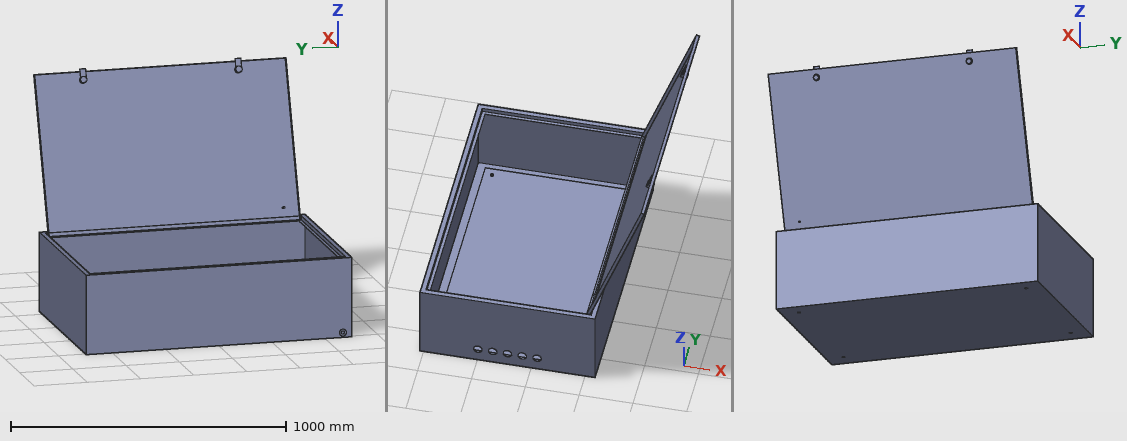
import cadquery as cq
import math


sheet = 1.5

housing_x = 652.0
housing_y = 1000.0
housing_z = 299.0
rim_width = 20.0
recess_depth = 15.0
ledge_inset = 32.0
ledge_z = housing_z - recess_depth

entry_count = 5
entry_diameter = 31.0
entry_pitch = 55.0
entry_z = 54.0

plate_margin_x = 34.0
plate_margin_y = 35.0
plate_z = 13.0
plate_thickness = 2.0
stud_inset = 66.0
stud_diameter = 8.0
stud_shoulder_diameter = 12.0
stud_projection = 3.0
stud_top_z = plate_z + plate_thickness + stud_projection

bolt_from_front = 34.0
bolt_z = 19.0
bolt_flange_diameter = 26.0
bolt_shank_diameter = 12.0
bolt_flange_thickness = 1.0

door_angle = 70.0
door_length = 594.0
door_width = 947.0
door_depth = 13.0
door_foot_gap = 6.0
door_stud_from_foot = 49.0
door_stud_y = -414.0
door_stud_diameter = 6.0
door_stud_length = 18.0

lock_y = 292.0
lock_from_free_edge = 31.0
barrel_diameter = 24.0
barrel_top = door_depth + 6.0
spindle_diameter = 16.0
knob_diameter = 20.0
knob_height = 5.0
cam_width = 22.0
cam_bottom = door_depth + 2.0
cam_thickness = 3.0
cam_overhang = 9.0

hinge_rise = math.radians(door_angle)
door_plane = cq.Plane(
    origin=(housing_x / 2 - rim_width - door_foot_gap, 0, ledge_z),
    xDir=(math.cos(hinge_rise), 0, math.sin(hinge_rise)),
    normal=(-math.sin(hinge_rise), 0, math.cos(hinge_rise)),
)

bolt_plane = cq.Plane(
    origin=(-housing_x / 2, bolt_from_front - housing_y / 2, bolt_z),
    xDir=(0, -1, 0),
    normal=(-1, 0, 0),
)
floor_plane = cq.Plane.XY()

stud_x = housing_x / 2 - stud_inset
stud_y = housing_y / 2 - stud_inset
stud_points = [(sx * stud_x, sy * stud_y) for sx in (-1, 1) for sy in (-1, 1)]
lock_points = [(door_length - lock_from_free_edge, side * lock_y) for side in (-1, 1)]


def inset_block(inset, bottom, top):
    """Block inside the housing outline, set in by the same amount on all four sides."""
    return (
        cq.Workplane("XY", origin=(0, 0, bottom))
        .rect(housing_x - 2 * inset, housing_y - 2 * inset)
        .extrude(top - bottom)
    )


def frame(outer_inset, inner_inset, bottom, top):
    """Rectangular ring between two insets from the housing outline."""
    return inset_block(outer_inset, bottom, top).cut(inset_block(inner_inset, bottom, top))


def discs(plane, points, diameter, start, end):
    """Cylinders on the given points, from height start to height end above the plane."""
    return (
        cq.Workplane(plane)
        .workplane(offset=start)
        .pushPoints(points)
        .circle(diameter / 2)
        .extrude(end - start)
    )


def make_housing():
    body = inset_block(0, 0, housing_z).cut(inset_block(sheet, sheet, housing_z))
    body = body.union(frame(0, rim_width, housing_z - sheet, housing_z))
    body = body.union(frame(rim_width - sheet, rim_width, ledge_z - sheet, housing_z))
    body = body.union(frame(rim_width - sheet, ledge_inset, ledge_z - sheet, ledge_z))

    body = body.union(discs(floor_plane, stud_points, stud_shoulder_diameter, 0, plate_z))
    body = body.union(discs(floor_plane, stud_points, stud_diameter, 0, stud_top_z))

    entries = (
        cq.Workplane("XZ", origin=(0, -housing_y / 2, entry_z))
        .rarray(entry_pitch, 10, entry_count, 1)
        .circle(entry_diameter / 2)
        .extrude(-sheet)
    )
    bolt_hole = discs(bolt_plane, [(0, 0)], bolt_shank_diameter, -sheet, 0)
    return body.cut(entries).cut(bolt_hole)


def make_plate():
    plate = (
        cq.Workplane("XY", origin=(0, 0, plate_z))
        .rect(housing_x - 2 * plate_margin_x, housing_y - 2 * plate_margin_y)
        .extrude(plate_thickness)
    )
    return plate.cut(discs(floor_plane, stud_points, stud_diameter, 0, stud_top_z))


def make_earth_bolt():
    flange = discs(bolt_plane, [(0, 0)], bolt_flange_diameter, 0, bolt_flange_thickness)
    shank = discs(bolt_plane, [(0, 0)], bolt_shank_diameter, -sheet, bolt_flange_thickness)
    return flange.union(shank)


def make_door():
    tray = (
        cq.Workplane(door_plane)
        .center(door_length / 2, 0)
        .rect(door_length, door_width)
        .extrude(door_depth)
    )
    hollow = (
        cq.Workplane(door_plane)
        .workplane(offset=sheet)
        .center(door_length / 2, 0)
        .rect(door_length - 2 * sheet, door_width - 2 * sheet)
        .extrude(door_depth)
    )
    stud_point = (door_stud_from_foot, door_stud_y)
    stud = discs(door_plane, [stud_point], door_stud_diameter, 0, sheet + door_stud_length)
    spindle_holes = discs(door_plane, lock_points, spindle_diameter, 0, sheet)
    return tray.cut(hollow).union(stud).cut(spindle_holes)


def make_lock(point):
    """Knob outside the door and barrel inside it, joined by a spindle through the sheet."""
    knob = discs(door_plane, [point], knob_diameter, -knob_height, 0)
    spindle = discs(door_plane, [point], spindle_diameter, 0, sheet)
    barrel = discs(door_plane, [point], barrel_diameter, sheet, barrel_top)
    return knob.union(spindle).union(barrel)


def make_cam(point):
    """Bar from the side of the lock barrel to beyond the free edge of the door."""
    length = lock_from_free_edge + cam_overhang
    bar = (
        cq.Workplane(door_plane)
        .workplane(offset=cam_bottom)
        .center(point[0] + length / 2, point[1])
        .rect(length, cam_width)
        .extrude(cam_thickness)
    )
    return bar.cut(discs(door_plane, [point], barrel_diameter, sheet, barrel_top))


housing = make_housing()
plate = make_plate()
earth_bolt = make_earth_bolt()
door = make_door()
locks = [make_lock(point) for point in lock_points]
cams = [make_cam(point) for point in lock_points]

bodies = [housing, plate, earth_bolt, door, *locks, *cams]
result = cq.Compound.makeCompound([solid for body in bodies for solid in body.solids().vals()])